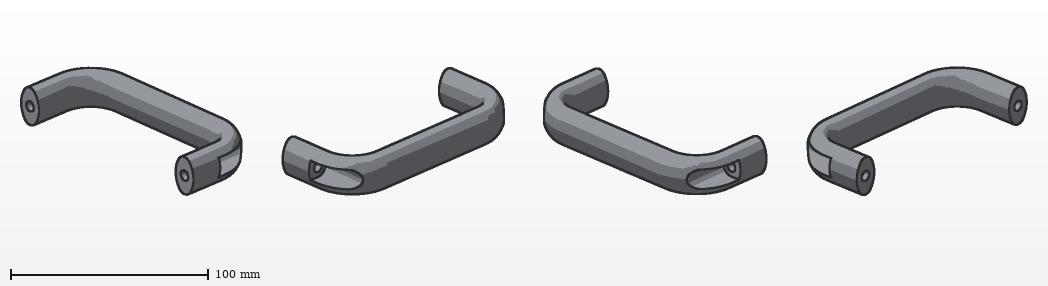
import cadquery as cq
import math

length = 125.0
depth = 50.0

bar_width = 13.0
bar_height = 21.0
oval_side_radius = 15.0

bend_radius = 20.0
leg_offset = (length - bar_width) / 2
bar_center_y = depth - bar_width / 2
leg_straight = bar_center_y - bend_radius

hole_diameter = 5.5
recess_diameter = 11.0
recess_seat_y = 19.0


def oval_section(plane):
    """Closed oval wire: small arcs at the top and bottom, large arcs on the sides."""
    half_width = bar_width / 2
    half_height = bar_height / 2
    side_center = oval_side_radius - half_width
    end_radius = (oval_side_radius**2 - side_center**2 - half_height**2) / (
        2 * (oval_side_radius - half_height)
    )
    end_center = half_height - end_radius
    join_angle = math.atan2(end_center, side_center)
    join_x = end_radius * math.cos(join_angle)
    join_z = end_center + end_radius * math.sin(join_angle)
    return (
        cq.Workplane(plane)
        .moveTo(join_x, join_z)
        .threePointArc((0, half_height), (-join_x, join_z))
        .threePointArc((-half_width, 0), (-join_x, -join_z))
        .threePointArc((0, -half_height), (join_x, -join_z))
        .threePointArc((half_width, 0), (join_x, join_z))
        .close()
    )


def handle_body():
    """Oval section swept along a leg, a bend, the grip, a bend and the other leg."""
    bend_center_x = leg_offset - bend_radius
    diagonal = bend_radius * math.sqrt(0.5)
    path = (
        cq.Workplane("XY")
        .moveTo(-leg_offset, 0)
        .lineTo(-leg_offset, leg_straight)
        .threePointArc(
            (-bend_center_x - diagonal, leg_straight + diagonal),
            (-bend_center_x, bar_center_y),
        )
        .lineTo(bend_center_x, bar_center_y)
        .threePointArc(
            (bend_center_x + diagonal, leg_straight + diagonal),
            (leg_offset, leg_straight),
        )
        .lineTo(leg_offset, 0)
    )
    foot_plane = cq.Plane(origin=(-leg_offset, 0, 0), xDir=(-1, 0, 0), normal=(0, 1, 0))
    return oval_section(foot_plane).sweep(path)


def screw_cutter(side):
    """Screw hole and round-bottomed recess, open to the outer side of one leg."""
    center_x = side * leg_offset
    recess_length = depth - recess_seat_y
    seat = cq.Workplane("XZ", origin=(center_x, recess_seat_y, 0))
    hole = cq.Workplane("XZ", origin=(center_x, 0, 0)).circle(hole_diameter / 2).extrude(-depth)
    bore = seat.circle(recess_diameter / 2).extrude(-recess_length)
    opening = (
        seat.center(side * bar_width / 2, 0)
        .rect(bar_width, recess_diameter)
        .extrude(-recess_length)
    )
    return hole.union(bore).union(opening)


result = handle_body()
for leg_side in (-1, 1):
    result = result.cut(screw_cutter(leg_side))